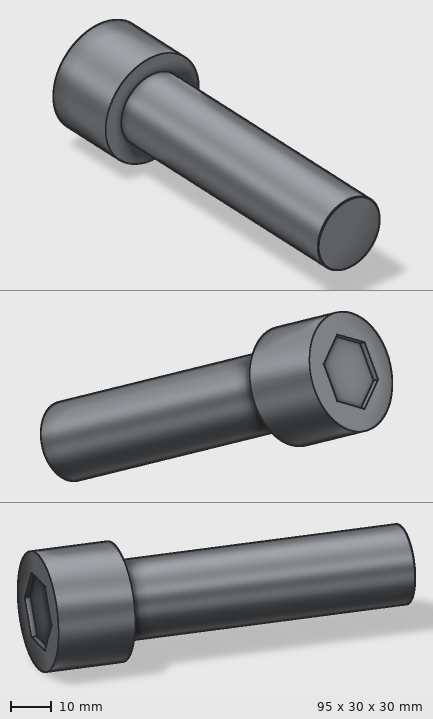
import cadquery as cq
import math

total_length = 95.0
head_diameter = 30.0
head_to_shank_ratio = 1.5
socket_across_flats = 17.0
socket_depth = 1.5
tip_chamfer = 0.2

shank_diameter = head_diameter / head_to_shank_ratio
head_length = shank_diameter
socket_across_corners = socket_across_flats / math.cos(math.pi / 6)

head = cq.Workplane("YZ").circle(head_diameter / 2).extrude(head_length)

shank = (
    cq.Workplane("YZ")
    .circle(shank_diameter / 2)
    .extrude(total_length)
    .faces(">X")
    .chamfer(tip_chamfer)
)

socket = cq.Workplane("YZ").polygon(6, socket_across_corners).extrude(socket_depth)

result = head.union(shank).cut(socket)